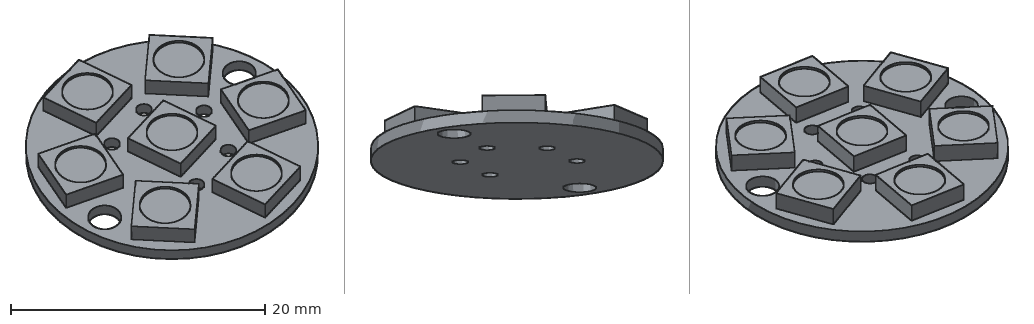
import cadquery as cq

board_diameter = 23.0
board_thickness = 1.01
lamp_side = 5.0
lamp_height = 1.5
lens_diameter = 4.0
lens_depth = 0.2
lamp_ring_radius = 8.0
lamp_count = 6

mount_hole_diameter = 2.6
mount_hole_offset = 9.5
wire_hole_diameter = 1.25
wire_hole_x = lamp_ring_radius / 2
wire_hole_top_y = 4.5
wire_hole_upper_y = 2.0
wire_hole_lower_y = -2.5

mount_hole_points = [(0, mount_hole_offset), (0, -mount_hole_offset)]
wire_hole_points = [(0, wire_hole_top_y)] + [
    (x, y)
    for x in (-wire_hole_x, wire_hole_x)
    for y in (wire_hole_upper_y, wire_hole_lower_y)
]


def make_board():
    """Disc with two mounting holes and five wire holes."""
    return (
        cq.Workplane("XY")
        .circle(board_diameter / 2)
        .extrude(board_thickness)
        .faces(">Z")
        .workplane()
        .pushPoints(mount_hole_points)
        .hole(mount_hole_diameter)
        .pushPoints(wire_hole_points)
        .hole(wire_hole_diameter)
    )


def make_lamp():
    """Square lamp on the board's top face, with a shallow round lens recess."""
    return (
        cq.Workplane("XY")
        .workplane(offset=board_thickness)
        .rect(lamp_side, lamp_side)
        .extrude(lamp_height)
        .faces(">Z")
        .workplane()
        .hole(lens_diameter, lens_depth)
    )


lamp = make_lamp()
result = make_board().union(lamp)

for index in range(lamp_count):
    ring_angle = index * 360 / lamp_count
    ring_lamp = lamp.translate((lamp_ring_radius, 0, 0))
    result = result.union(ring_lamp.rotate((0, 0, 0), (0, 0, 1), ring_angle))